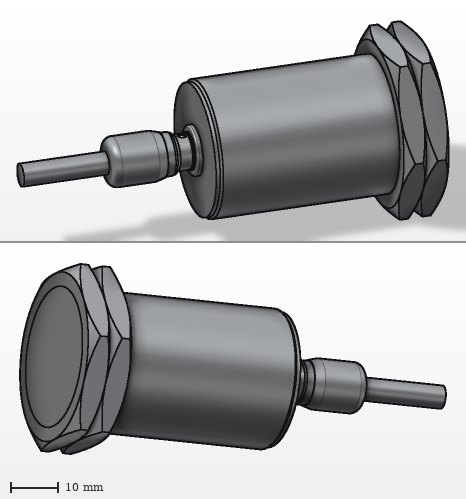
import cadquery as cq
import math

total_length = 89.2

nut_thickness = 5.0
nut_across_corners = 41.6
nut_chamfer_angle = 30.0
nut_count = 2

barrel_diameter = 30.0
barrel_length = 50.5
barrel_end_diameter = 28.9
barrel_end_length = 0.9
barrel_chamfer = (barrel_diameter - barrel_end_diameter) / 2

flange_diameter = 11.0
flange_length = 1.25
flange_fillet = 0.45
neck_diameter = 7.85
neck_ring_diameter = 8.3
neck_ring_length = 0.3
neck_ring_chamfer_length = 0.3
neck_end = 54.95

collar_diameter = 9.45
collar_cone_angle = 38.0
collar_fillet = 0.8
collar_end = 58.0
taper_start_diameter = 9.8
grip_diameter = flange_diameter
grip_start = 60.1
grip_end = 70.3
grip_fillet = 2.0

cable_diameter = 5.0

window_diameter = 1.9
lamp_diameter = 1.6
window_depth = lamp_diameter / 2
window_position = 53.4


def make_sensor():
    """Barrel, connector and cable turned from one outline, with the indicator in the neck."""
    barrel_chamfer_end = barrel_length - barrel_end_length
    flange_end = barrel_length + flange_length
    neck_ring_end = flange_end + neck_ring_length
    cone_angle = math.radians(collar_cone_angle)
    cone_end_radius = collar_diameter / 2 - collar_fillet * (1 - math.cos(cone_angle))
    cone_end = neck_end + (cone_end_radius - neck_diameter / 2) / math.tan(cone_angle)
    collar_start = cone_end + collar_fillet * math.sin(cone_angle)
    outline = (
        cq.Workplane("XY")
        .moveTo(0, 0)
        .lineTo(barrel_diameter / 2, 0)
        .lineTo(barrel_diameter / 2, -(barrel_chamfer_end - barrel_chamfer))
        .lineTo(barrel_end_diameter / 2, -barrel_chamfer_end)
        .lineTo(barrel_end_diameter / 2, -barrel_length)
        .lineTo(flange_diameter / 2, -barrel_length)
        .lineTo(flange_diameter / 2, -(flange_end - flange_fillet))
        .radiusArc((flange_diameter / 2 - flange_fillet, -flange_end), flange_fillet)
        .lineTo(neck_ring_diameter / 2, -flange_end)
        .lineTo(neck_ring_diameter / 2, -neck_ring_end)
        .lineTo(neck_diameter / 2, -(neck_ring_end + neck_ring_chamfer_length))
        .lineTo(neck_diameter / 2, -neck_end)
        .lineTo(cone_end_radius, -cone_end)
        .radiusArc((collar_diameter / 2, -collar_start), -collar_fillet)
        .lineTo(collar_diameter / 2, -collar_end)
        .lineTo(taper_start_diameter / 2, -collar_end)
        .lineTo(grip_diameter / 2, -grip_start)
        .lineTo(grip_diameter / 2, -(grip_end - grip_fillet))
        .radiusArc((grip_diameter / 2 - grip_fillet, -grip_end), grip_fillet)
        .lineTo(cable_diameter / 2, -grip_end)
        .lineTo(cable_diameter / 2, -total_length)
        .lineTo(0, -total_length)
        .close()
    )
    sensor = outline.revolve(360, (0, 0, 0), (0, 1, 0))
    return add_indicator(sensor)


def add_indicator(sensor):
    """Sink a round window into the +Z side of the neck, with a domed lamp standing on its floor."""
    window_floor = cq.Workplane("XY", origin=(0, -window_position, neck_diameter / 2 - window_depth))
    window = window_floor.circle(window_diameter / 2).extrude(neck_diameter)
    lamp = window_floor.sphere(lamp_diameter / 2, direct=(1, 0, 0))
    return sensor.cut(window).union(lamp)


def make_nut(front):
    """Hexagonal nut from Y = front to Y = front - nut_thickness, chamfered on both faces."""
    corner_radius = nut_across_corners / 2
    face_radius = corner_radius * math.cos(math.pi / 6)
    chamfer_height = (corner_radius - face_radius) * math.tan(math.radians(nut_chamfer_angle))
    back = front - nut_thickness
    hexagon = (
        cq.Workplane("XZ", origin=(0, front, 0))
        .polygon(6, nut_across_corners)
        .extrude(nut_thickness)
    )
    envelope = (
        cq.Workplane("XY")
        .moveTo(0, front)
        .lineTo(face_radius, front)
        .lineTo(corner_radius, front - chamfer_height)
        .lineTo(corner_radius, back + chamfer_height)
        .lineTo(face_radius, back)
        .lineTo(0, back)
        .close()
        .revolve(360, (0, 0, 0), (0, 1, 0))
    )
    bore = cq.Workplane("XZ", origin=(0, front, 0)).circle(barrel_diameter / 2).extrude(nut_thickness)
    return hexagon.intersect(envelope).cut(bore)


sensor = make_sensor()
nuts = [make_nut(-index * nut_thickness) for index in range(nut_count)]
result = cq.Compound.makeCompound([sensor.val(), *[nut.val() for nut in nuts]])